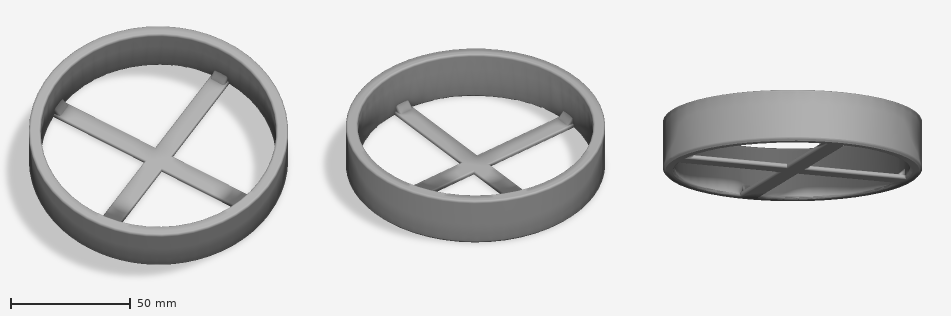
import cadquery as cq

outer_diameter = 109.0
inner_diameter = 99.0
ring_height = 22.0
rim_fillet = 1.0
base_chamfer = 1.0

bar_width = 8.5
bar_thickness = 2.0
bar_edge_fillet = 0.8

wedge_run = 2.9
wedge_rise = 2.9
wedge_width = bar_width - 2 * bar_edge_fillet
wedge_edge_fillet = 0.9

outer_radius = outer_diameter / 2
inner_radius = inner_diameter / 2
wall = outer_radius - inner_radius
bar_end_radius = inner_radius + wall / 2


def make_ring():
    body = cq.Workplane("XY").circle(outer_radius).extrude(ring_height)
    body = body.faces("<Z").edges().chamfer(base_chamfer)
    body = body.faces("%CYLINDER").edges("<Z").fillet(rim_fillet)
    ring = body.cut(cq.Workplane("XY").circle(inner_radius).extrude(ring_height))
    ring = ring.faces(">Z").edges().fillet(rim_fillet)
    inner_base_edge = cq.selectors.RadiusNthSelector(0)
    return ring.faces("<Z").edges(inner_base_edge).fillet(rim_fillet)


def make_cross():
    bar_length = 2 * bar_end_radius
    cross = cq.Workplane("XY").rect(bar_length, bar_width).extrude(bar_thickness)
    cross = cross.union(cq.Workplane("XY").rect(bar_width, bar_length).extrude(bar_thickness))
    long_edges = cross.faces(">Z or <Z").edges("not(<X or >X or <Y or >Y)")
    return long_edges.fillet(bar_edge_fillet)


def make_wedge():
    """Wedge at the +X end of the cross, its slope rising towards the wall."""
    toe = inner_radius - wedge_run
    top = bar_thickness + wedge_rise
    wedge = (
        cq.Workplane("XZ")
        .moveTo(toe, bar_thickness / 2)
        .lineTo(toe, bar_thickness)
        .lineTo(inner_radius, top)
        .lineTo(bar_end_radius, top)
        .lineTo(bar_end_radius, bar_thickness / 2)
        .close()
        .extrude(wedge_width / 2, both=True)
    )
    slope_sides = wedge.faces("not(|X or |Y or |Z)").edges("not(|Y)")
    return slope_sides.fillet(wedge_edge_fillet)


result = make_ring().union(make_cross())
wedge = make_wedge()
for angle in (0, 90, 180, 270):
    result = result.union(wedge.rotate((0, 0, 0), (0, 0, 1), angle))